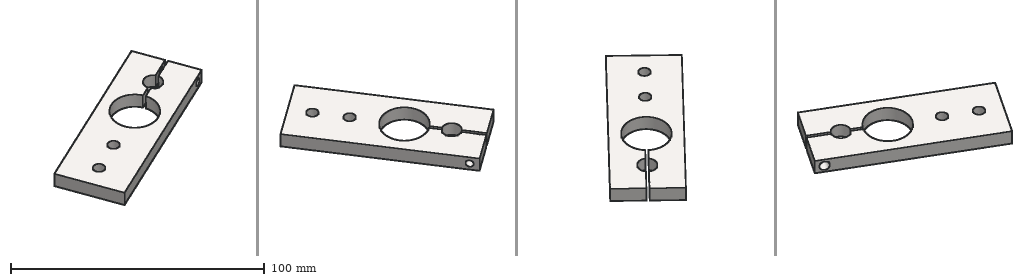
import cadquery as cq

plate_width = 30.0
plate_length = 80.0
plate_thickness = 6.5

bore_diameter = 20.0
bore_from_end = 33.0
slit_width = 1.2

relief_diameter = 8.0
relief_from_end = 14.0
relief_depth = 6.0

mounting_diameter = 4.92
mounting_from_end = (55.0, 70.0)

screw_from_end = 4.0
screw_clearance_diameter = 4.3
screw_core_diameter = 3.24

end_y = plate_length / 2
bore_y = end_y - bore_from_end


def vertical_hole(diameter, distance_from_end, depth):
    """Cylinder on the centreline, reaching down from the top face."""
    return (
        cq.Workplane("XY")
        .workplane(offset=plate_thickness - depth)
        .center(0, end_y - distance_from_end)
        .circle(diameter / 2)
        .extrude(depth)
    )


def clamp_slit():
    """Through slot from the bore centre to the +Y end."""
    slit_length = end_y - bore_y
    return (
        cq.Workplane("XY")
        .center(0, bore_y + slit_length / 2)
        .rect(slit_width, slit_length)
        .extrude(plate_thickness)
    )


def screw_hole(diameter, length):
    """Cylinder at mid-thickness, running in +X from the -X side face."""
    return (
        cq.Workplane("YZ")
        .workplane(offset=-plate_width / 2)
        .center(end_y - screw_from_end, plate_thickness / 2)
        .circle(diameter / 2)
        .extrude(length)
    )


plate = cq.Workplane("XY").box(plate_width, plate_length, plate_thickness, centered=(True, True, False))

plate = plate.cut(vertical_hole(bore_diameter, bore_from_end, plate_thickness))
plate = plate.cut(clamp_slit())
plate = plate.cut(vertical_hole(relief_diameter, relief_from_end, relief_depth))

for distance in mounting_from_end:
    plate = plate.cut(vertical_hole(mounting_diameter, distance, plate_thickness))

plate = plate.cut(screw_hole(screw_clearance_diameter, plate_width / 2))
plate = plate.cut(screw_hole(screw_core_diameter, plate_width))

result = plate